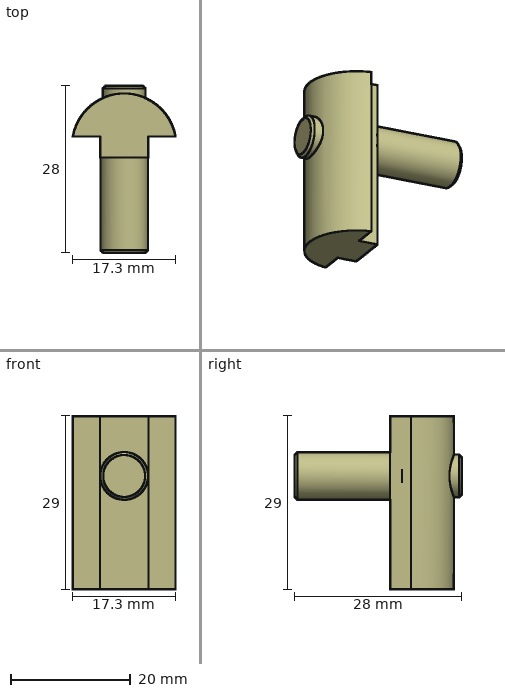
import cadquery as cq

nut_height = 29.0
flange_width = 17.25
neck_width = 8.1
neck_depth = 3.45
nut_depth = 10.7

axis_height = 19.0
stud_diameter = 8.0
stud_projection = 16.0
stud_engagement = 2.0
pin_diameter = 7.2
pin_projection = 1.3
end_chamfer = 0.5

stud_front = -stud_projection
pin_back = nut_depth + pin_projection


def cylinder_along_y(diameter, y_start, y_end):
    """Cylinder on the common axis between two Y positions."""
    plane = cq.Plane(origin=(0, y_start, axis_height), xDir=(1, 0, 0), normal=(0, 1, 0))
    return cq.Workplane(plane).circle(diameter / 2).extrude(y_end - y_start)


def make_stud():
    stud = cylinder_along_y(stud_diameter, stud_front, stud_engagement)
    return stud.faces("<Y").chamfer(end_chamfer)


def make_pin():
    pin = cylinder_along_y(pin_diameter, stud_engagement, pin_back)
    return pin.faces(">Y").chamfer(end_chamfer)


def make_nut():
    half_neck = neck_width / 2
    half_flange = flange_width / 2
    nut = (
        cq.Workplane("XY")
        .moveTo(-half_neck, 0)
        .lineTo(half_neck, 0)
        .lineTo(half_neck, neck_depth)
        .lineTo(half_flange, neck_depth)
        .threePointArc((0, nut_depth), (-half_flange, neck_depth))
        .lineTo(-half_neck, neck_depth)
        .close()
        .extrude(nut_height)
    )
    stud_bore = cylinder_along_y(stud_diameter, 0, stud_engagement)
    pin_bore = cylinder_along_y(pin_diameter, stud_engagement, pin_back)
    return nut.cut(stud_bore).cut(pin_bore)


nut = make_nut()
stud = make_stud()
pin = make_pin()

result = cq.Compound.makeCompound([nut.val(), stud.val(), pin.val()])